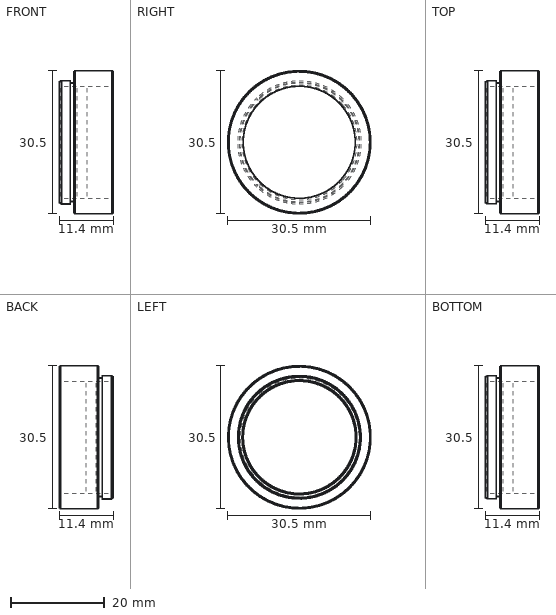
import cadquery as cq

total_length = 11.43
body_radius = 15.25
body_start = 3.08
body_chamfer = 0.27

collar_radius = 13.15
collar_length = 2.35
collar_chamfer_length = 0.45
collar_chamfer_depth = 0.3
relief_radius = 12.65

bore_radius = 11.92
bore_chamfer = 0.3

lens_front = 3.72
lens_thickness = 2.13


def make_housing():
    """Body, undercut and collar around a through bore: one half section turned about X."""
    collar_face_radius = collar_radius - collar_chamfer_depth
    body_face_radius = body_radius - body_chamfer
    half_section = (
        cq.Workplane("XY")
        .moveTo(bore_chamfer, bore_radius)
        .lineTo(0, bore_radius + bore_chamfer)
        .lineTo(0, collar_face_radius)
        .lineTo(collar_chamfer_length, collar_radius)
        .lineTo(collar_length, collar_radius)
        .lineTo(collar_length, relief_radius)
        .lineTo(body_start, relief_radius)
        .lineTo(body_start, body_face_radius)
        .lineTo(body_start + body_chamfer, body_radius)
        .lineTo(total_length - body_chamfer, body_radius)
        .lineTo(total_length, body_face_radius)
        .lineTo(total_length, bore_radius)
        .close()
    )
    return half_section.revolve(360, (0, 0, 0), (1, 0, 0))


def make_lens():
    """Flat-faced disc that fills the bore."""
    return cq.Workplane("YZ").workplane(offset=lens_front).circle(bore_radius).extrude(lens_thickness)


housing = make_housing()
lens = make_lens()

result = cq.Compound.makeCompound([housing.val(), lens.val()])